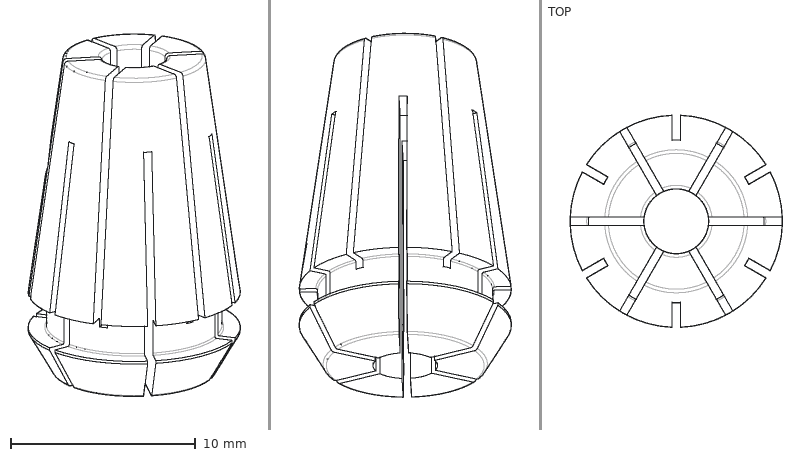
import cadquery as cq
import math


length = 18.0
max_radius = 11.5 / 2
bore_radius = 3.5 / 2

taper_base_z = 4.5
taper_half_angle = 8.0
nose_radius = max_radius - (length - taper_base_z) * math.tan(math.radians(taper_half_angle))
nose_fillet = 0.2
bore_fillet = 0.2

groove_radius = 9.5 / 2
groove_base_z = 2.5
groove_fillet = 0.1

rim_height = 0.15
rim_base_z = groove_base_z - rim_height
head_angle = 30.0
base_radius = max_radius - rim_base_z * math.tan(math.radians(head_angle))
base_fillet = 0.2

slot_count = 6
slot_pitch = 360.0 / slot_count
slot_width = 0.45
nose_slot_floor_z = 4.0
base_slot_end_z = 14.0
blade_length = 4 * max_radius

pick_margin = 0.01


def round_edge(body, edge_radius, z, fillet_radius):
    """Fillet the circular edge with this radius at this height."""
    reach = edge_radius + pick_margin
    box = cq.selectors.BoxSelector(
        (-reach, -reach, z - pick_margin),
        (reach, reach, z + pick_margin),
        boundingbox=True,
    )
    largest = cq.selectors.RadiusNthSelector(-1)
    return body.edges(box).edges(largest).fillet(fillet_radius)


def make_body():
    """Revolve the full profile, bore included, and round its edges."""
    profile = [
        (bore_radius, 0),
        (base_radius, 0),
        (max_radius, rim_base_z),
        (max_radius, groove_base_z),
        (groove_radius, groove_base_z),
        (groove_radius, taper_base_z),
        (max_radius, taper_base_z),
        (nose_radius, length),
        (bore_radius, length),
    ]
    body = cq.Workplane("XZ").polyline(profile).close().revolve(360, (0, 0), (0, 1))
    body = round_edge(body, bore_radius, length, bore_fillet)
    body = round_edge(body, nose_radius, length, nose_fillet)
    body = round_edge(body, groove_radius, groove_base_z, groove_fillet)
    body = round_edge(body, groove_radius, taper_base_z, groove_fillet)
    return round_edge(body, base_radius, 0, base_fillet)


def make_slots(first_angle, z_low, z_high):
    """Evenly spaced slot cutters; each blade spans the diameter and cuts two opposite slots."""
    blade = (
        cq.Workplane("XY")
        .workplane(offset=z_low)
        .rect(blade_length, slot_width)
        .extrude(z_high - z_low)
    )
    slots = cq.Workplane("XY")
    for index in range(slot_count // 2):
        angle = first_angle + index * slot_pitch
        slots = slots.add(blade.rotate((0, 0, 0), (0, 0, 1), angle))
    return slots.combine()


nose_slots = make_slots(0, nose_slot_floor_z, length)
base_slots = make_slots(slot_pitch / 2, 0, base_slot_end_z)
result = make_body().cut(nose_slots).cut(base_slots)